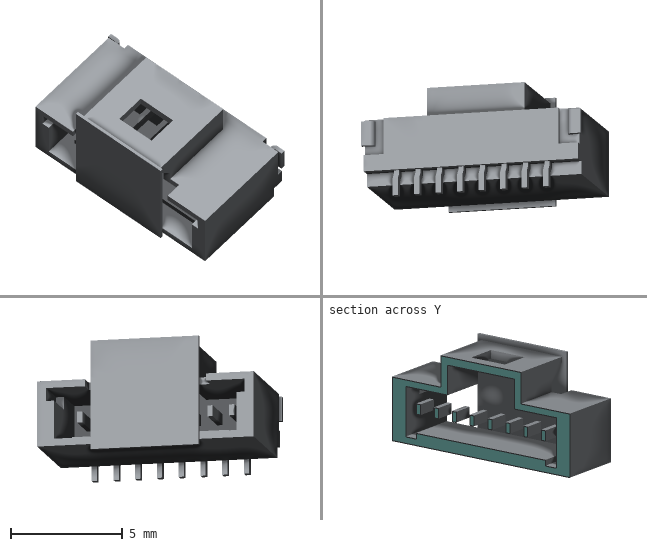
import cadquery as cq
import math


shell_width = 10.0
shell_depth = 5.36
shell_height = 3.0
rear_overhang = 0.04
rear_limit_y = shell_depth + rear_overhang

cavity_width = 8.44
cavity_depth = 4.1
floor_thickness = 0.33
ceiling_thickness = 0.33
cavity_top_z = shell_height - ceiling_thickness

key_slot_reach = 0.37
key_slot_height = 0.59
key_slot_depth = 2.05

hood_width = 4.54
hood_wall = 0.4
hood_rise = 1.47
hood_top_z = shell_height + hood_rise
hood_rear_y = cavity_depth + hood_wall
hood_inner_width = hood_width - 2 * hood_wall

relief_depth = 0.8
relief_width = 5.59
relief_rise = 0.44
relief_slope_top_z = shell_height + relief_rise + relief_depth

window_width = 1.89
window_front_y = 1.05
window_length = 1.5

contact_count = 8
contact_pitch = 1.0
contact_width = 0.25
contact_tip_y = 2.09
contact_tip_height = 0.5
contact_top_gap = 1.02
contact_tip_top_z = shell_height - contact_top_gap
row_length = (contact_count - 1) * contact_pitch

step_width = row_length + contact_width
step_height = 0.27
step_front_y = 1.11

tail_notch_depth = 0.56
tail_notch_height = 0.59

tail_thickness = 0.34
tail_drop = 0.6
tail_offset = 0.2
tail_upper_straight = 0.15
tail_upper_rear_y = rear_limit_y - tail_offset
tail_root_y = shell_depth - tail_notch_depth
tail_upper_bend_z = tail_notch_height - tail_upper_straight
tail_lower_rear_bend_z = 0.18
tail_lower_front_bend_z = 0.06
tail_root_z = 0.38

tab_pocket_width = 0.92
tab_pocket_depth = 0.26
tab_pocket_height = 1.66
tab_thickness = 0.2
tab_height = 1.13
tab_top_gap = 0.1
tab_span = 10.24
tab_length = 0.61

cover_size = 5.0
cover_thickness = 0.14
cover_drop = 0.27


def block(x_size, y_start, y_end, z_start, z_end, x_center=0):
    """Box centred on x_center, spanning the given Y and Z ranges."""
    size = (x_size, y_end - y_start, z_end - z_start)
    corner = (x_center - x_size / 2, y_start, z_start)
    return cq.Workplane("XY").box(*size, centered=False).translate(corner)


def side_profile(points, x_size, x_center=0):
    """Prism with a (y, z) outline, centred on x_center."""
    prism = cq.Workplane("YZ").polyline(points).close().extrude(x_size / 2, both=True)
    return prism.translate((x_center, 0, 0))


def make_shell():
    """Shell with its hood, hollowed out and relieved at the mouth."""
    shell = block(shell_width, 0, shell_depth, 0, shell_height)
    shell = shell.union(block(hood_width, 0, hood_rear_y, shell_height, hood_top_z))

    shell = shell.cut(block(cavity_width, 0, cavity_depth, floor_thickness, cavity_top_z))
    hood_hollow_top_z = hood_top_z - hood_wall
    shell = shell.cut(block(hood_inner_width, 0, cavity_depth, cavity_top_z, hood_hollow_top_z))

    key_slot_span = cavity_width + 2 * key_slot_reach
    key_slot_bottom_z = cavity_top_z - key_slot_height
    shell = shell.cut(block(key_slot_span, 0, key_slot_depth, key_slot_bottom_z, cavity_top_z))

    relief_outline = [
        (0, cavity_top_z),
        (relief_depth, cavity_top_z),
        (relief_depth, shell_height + relief_rise),
        (0, relief_slope_top_z),
    ]
    shell = shell.cut(side_profile(relief_outline, relief_width))

    window_rear_y = window_front_y + window_length
    return shell.cut(block(window_width, window_front_y, window_rear_y, shell_height, hood_top_z))


def cut_rear_recesses(shell):
    """Notch for the tails and two corner pockets for the solder tabs."""
    shell = shell.cut(block(shell_width, tail_root_y, shell_depth, 0, tail_notch_height))

    pocket_front_y = shell_depth - tab_pocket_depth
    pocket_bottom_z = shell_height - tab_pocket_height
    pocket_center = (shell_width - tab_pocket_width) / 2
    for side in (-1, 1):
        pocket = block(tab_pocket_width, pocket_front_y, shell_depth,
                       pocket_bottom_z, shell_height, side * pocket_center)
        shell = shell.cut(pocket)
    return shell


def make_floor_step():
    """Raised step from behind the mouth to the rear wall of the cavity."""
    return block(step_width, step_front_y, cavity_depth, floor_thickness, floor_thickness + step_height)


def make_contact(x_center):
    """Straight blade inside the cavity and a joggled tail below the rear edge."""
    tip_bottom_z = contact_tip_top_z - contact_tip_height
    blade = block(contact_width, contact_tip_y, cavity_depth, tip_bottom_z, contact_tip_top_z, x_center)

    tail_outline = [
        (tail_upper_rear_y, tail_notch_height),
        (tail_upper_rear_y, tail_upper_bend_z),
        (rear_limit_y, tail_lower_rear_bend_z),
        (rear_limit_y, -tail_drop),
        (rear_limit_y - tail_thickness, -tail_drop),
        (rear_limit_y - tail_thickness, tail_lower_front_bend_z),
        (tail_root_y, tail_root_z),
        (tail_root_y, tail_notch_height),
    ]
    return [blade, side_profile(tail_outline, contact_width, x_center)]


def make_left_tab():
    """Solder tab that leaves its pocket and bends outward round a rounded corner."""
    outer_x = -tab_span / 2
    bend_x = outer_x + tab_length - tab_thickness
    root_y = shell_depth - tab_pocket_depth
    inner_y = rear_limit_y - tab_thickness
    diagonal = tab_thickness * math.cos(math.radians(45))
    outline = (
        cq.Workplane("XY")
        .moveTo(outer_x, rear_limit_y)
        .lineTo(bend_x, rear_limit_y)
        .threePointArc((bend_x + diagonal, inner_y + diagonal), (bend_x + tab_thickness, inner_y))
        .lineTo(bend_x + tab_thickness, root_y)
        .lineTo(bend_x, root_y)
        .lineTo(bend_x, inner_y)
        .lineTo(outer_x, inner_y)
        .close()
    )
    tab_bottom_z = shell_height - tab_top_gap - tab_height
    return outline.extrude(tab_height).translate((0, 0, tab_bottom_z))


def make_connector():
    """Shell, floor step, contacts and solder tabs joined as one body."""
    connector = cut_rear_recesses(make_shell()).union(make_floor_step())
    for index in range(contact_count):
        for piece in make_contact(index * contact_pitch - row_length / 2):
            connector = connector.union(piece)
    left_tab = make_left_tab()
    connector = connector.union(left_tab).union(left_tab.mirror("YZ"))
    return connector.solids()


def make_cover():
    """Thin flat cover resting on the front of the shell and hood."""
    return block(cover_size, -cover_thickness, 0, -cover_drop, cover_size - cover_drop)


connector = make_connector()
cover = make_cover()

result = cq.Compound.makeCompound([connector.val(), cover.val()])